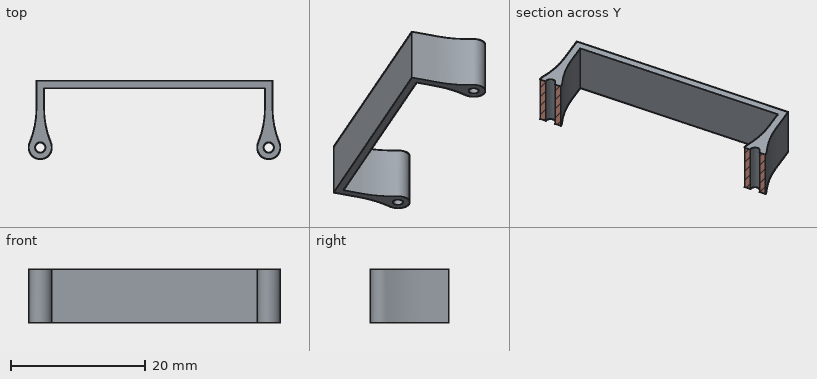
import cadquery as cq
import math

length = 37.5
depth = 11.7
height = 8.0

wall = 1.15
boss_diameter = 3.5
hole_diameter = 1.5
flare_radius = 13.5

boss_radius = boss_diameter / 2
half_wall = wall / 2
boss_x = length / 2 - boss_radius
back_y = depth - boss_radius

flare_center_x = half_wall + flare_radius
center_distance = boss_radius + flare_radius
flare_start_y = math.sqrt(center_distance**2 - flare_center_x**2)
flare_angle = math.atan2(flare_start_y, flare_center_x)
tangent_x = boss_radius * math.cos(flare_angle)
tangent_y = boss_radius * math.sin(flare_angle)
flare_mid_x = flare_center_x - flare_radius * math.cos(flare_angle / 2)
flare_mid_y = flare_start_y - flare_radius * math.sin(flare_angle / 2)


def make_arm(center_x):
    """Arm along Y that flares into a round boss with a through hole."""
    outline = (
        cq.Workplane("XY")
        .center(center_x, 0)
        .moveTo(-half_wall, back_y)
        .lineTo(-half_wall, flare_start_y)
        .threePointArc((-flare_mid_x, flare_mid_y), (-tangent_x, tangent_y))
        .threePointArc((0, -boss_radius), (tangent_x, tangent_y))
        .threePointArc((flare_mid_x, flare_mid_y), (half_wall, flare_start_y))
        .lineTo(half_wall, back_y)
        .close()
    )
    hole = cq.Workplane("XY").center(center_x, 0).circle(hole_diameter / 2).extrude(height)
    return outline.extrude(height).cut(hole)


plate_length = 2 * boss_x + wall
result = (
    cq.Workplane("XY")
    .center(0, back_y - half_wall)
    .rect(plate_length, wall)
    .extrude(height)
)

for side in (-1, 1):
    result = result.union(make_arm(side * boss_x))